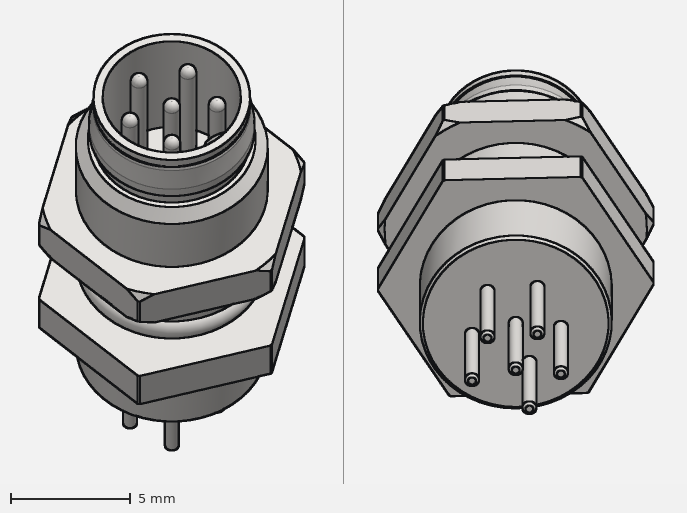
import cadquery as cq
import math

TOTAL_HEIGHT = 22
BODY_BOTTOM = 4.49
FLANGE_BOTTOM = 8.0
FLANGE_TOP = 9.99
ORING_CENTRE = 10.63
THREAD_BOTTOM = 11.65
NUT_BOTTOM = 13.5
NUT_TOP = 15.49
THREAD_TOP = 18.5
RING_BOTTOM = 19.71
RING_TOP = 20.2
TAPER_TOP = 21.3
RIM_BOTTOM = 21.5

BODY_RADIUS = 8.0 / 2
THREAD_CHAMFER = 0.5
CORE_RADIUS = BODY_RADIUS - THREAD_CHAMFER
BASE_CHAMFER = 0.13
NECK_RADIUS = 6.53 / 2
TAPER_TOP_RADIUS = 6.6 / 2
RIM_GROOVE_RADIUS = 6.45 / 2
RING_RADIUS = 6.9 / 2
RING_CHAMFER_HEIGHT = 0.1
ORING_SECTION_RADIUS = 0.5

ACROSS_FLATS = 10.0
ACROSS_CORNERS = 11.5
NUT_CHAMFER = 0.29

SOCKET_RADIUS = 5.76 / 2
SOCKET_DEPTH = 6.0
KEY_RADIUS = 0.53
KEY_CENTRE_X = 2.65
KEY_WALL_DROP = 0.26

CONTACT_RADIUS = 0.7 / 2
CONTACT_TOP = 21.67
NOSE_ROUNDNESS = 0.999
TAIL_RADIUS = 0.6 / 2
TAIL_CHAMFER = 0.13
PIN_CIRCLE_RADIUS = 1.9
PIN_PITCH_ANGLE = 67
OUTER_PIN_COUNT = 5


def make_body():
    """Turned housing, revolved from its half section."""
    profile = [
        (0, BODY_BOTTOM),
        (BODY_RADIUS - BASE_CHAMFER, BODY_BOTTOM),
        (BODY_RADIUS, BODY_BOTTOM + BASE_CHAMFER),
        (BODY_RADIUS, FLANGE_TOP),
        (CORE_RADIUS, FLANGE_TOP),
        (CORE_RADIUS, THREAD_BOTTOM - THREAD_CHAMFER),
        (BODY_RADIUS, THREAD_BOTTOM),
        (BODY_RADIUS, THREAD_TOP),
        (CORE_RADIUS, THREAD_TOP + THREAD_CHAMFER),
        (NECK_RADIUS, THREAD_TOP + THREAD_CHAMFER),
        (NECK_RADIUS, RING_BOTTOM - RING_CHAMFER_HEIGHT),
        (RING_RADIUS, RING_BOTTOM),
        (RING_RADIUS, RING_TOP),
        (TAPER_TOP_RADIUS, TAPER_TOP),
        (RIM_GROOVE_RADIUS, RIM_BOTTOM),
        (NECK_RADIUS, RIM_BOTTOM),
        (NECK_RADIUS, TOTAL_HEIGHT),
        (0, TOTAL_HEIGHT),
    ]
    return cq.Workplane("XZ").polyline(profile).close().revolve(360, (0, 0), (0, 1))


def make_hexagon(bottom, top, corner_chamfer=0):
    """Hexagon with corners on the X axis, turned to the across-corners size."""
    height = top - bottom
    full_corners = ACROSS_FLATS / math.cos(math.pi / 6)
    hexagon = cq.Workplane("XY").workplane(offset=bottom).polygon(6, full_corners).extrude(height)
    turned_blank = cq.Workplane("XY").workplane(offset=bottom).circle(ACROSS_CORNERS / 2).extrude(height)
    if corner_chamfer:
        turned_blank = turned_blank.edges().chamfer(corner_chamfer)
    return hexagon.intersect(turned_blank)


def make_oring():
    """Torus whose section is drawn on the -X side, so its seam lies inside the body."""
    circle_radius = BODY_RADIUS - ORING_SECTION_RADIUS
    return (
        cq.Workplane("XZ")
        .center(-circle_radius, ORING_CENTRE)
        .circle(ORING_SECTION_RADIUS)
        .revolve(360, (circle_radius, 0), (circle_radius, 1))
    )


def make_socket():
    """Blind round cavity, less the key left standing on its +X wall."""
    floor = TOTAL_HEIGHT - SOCKET_DEPTH
    cavity = cq.Workplane("XY").workplane(offset=floor).circle(SOCKET_RADIUS).extrude(SOCKET_DEPTH)
    key = (
        cq.Workplane("XY")
        .workplane(offset=floor)
        .center(KEY_CENTRE_X, 0)
        .circle(KEY_RADIUS)
        .extrude(SOCKET_DEPTH)
    )
    key_top = TOTAL_HEIGHT - KEY_WALL_DROP
    under_slope = (
        cq.Workplane("XZ")
        .polyline([(0, floor), (SOCKET_RADIUS, floor), (SOCKET_RADIUS, key_top), (0, key_top - SOCKET_RADIUS)])
        .close()
        .extrude(KEY_RADIUS, both=True)
    )
    return cavity.cut(key.intersect(under_slope))


def make_pin(x, y):
    """Round-nosed contact above, thinner chamfered solder tail below."""
    contact_base = TOTAL_HEIGHT - SOCKET_DEPTH
    tail = cq.Workplane("XY").circle(TAIL_RADIUS).extrude(contact_base)
    tail = tail.faces("<Z").chamfer(TAIL_CHAMFER)
    contact = (
        cq.Workplane("XY")
        .workplane(offset=contact_base)
        .circle(CONTACT_RADIUS)
        .extrude(CONTACT_TOP - contact_base)
        .faces(">Z")
        .edges()
        .fillet(CONTACT_RADIUS * NOSE_ROUNDNESS)
    )
    return tail.union(contact).translate((x, y, 0))


def pin_positions():
    """One central pin, and outer pins fanned evenly about the -X axis."""
    positions = [(0, 0)]
    for index in range(OUTER_PIN_COUNT):
        steps_from_middle = index - (OUTER_PIN_COUNT - 1) / 2
        angle = math.radians(180 + steps_from_middle * PIN_PITCH_ANGLE)
        positions.append((PIN_CIRCLE_RADIUS * math.cos(angle), PIN_CIRCLE_RADIUS * math.sin(angle)))
    return positions


result = make_body()
result = result.union(make_hexagon(FLANGE_BOTTOM, FLANGE_TOP))
result = result.union(make_hexagon(NUT_BOTTOM, NUT_TOP, NUT_CHAMFER))
result = result.union(make_oring())
result = result.cut(make_socket())
for pin_x, pin_y in pin_positions():
    result = result.union(make_pin(pin_x, pin_y))